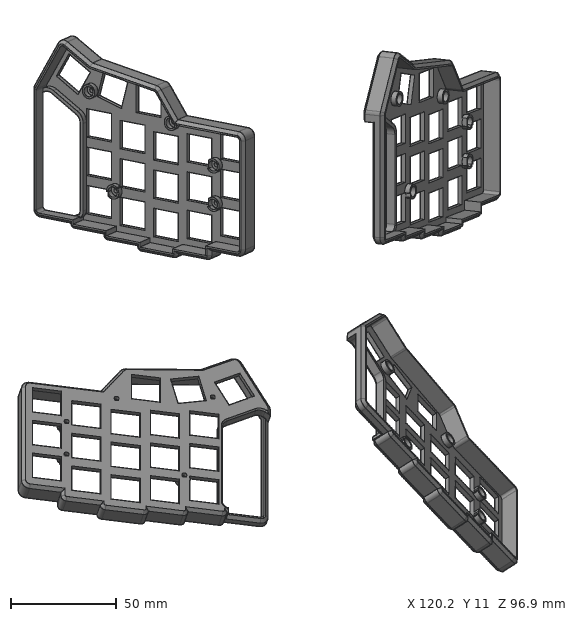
import cadquery as cq
import math

WIDTH = 120.2
DEPTH = 11.0
WALL = 2.4
FLOOR = 2.3
EDGE_CHAMFER = 1.6
CORNER_RADIUS = 3.8
STEP_RADIUS = 2.4

THUMB_TILT = 30
THUMB_KINK_Z = 70.8
THUMB_SIDE = 31.7
RIDGE_LEFT = (33.4, 88.3)
RIDGE_RIGHT = (71.4, 83.1)
SHOULDER_FOOT = (81.8, 68.6)

KEY_SIZE = 14.0
KEY_PITCH = 19.0
ROWS = 3
FIRST_COLUMN_X = 32.2
BOTTOM_KEY_Z = [17.4, 14.9, 12.6, 14.9, 19.6]
KEY_TO_EDGE = 12.6
STEP_X = [20.9, 39.8, 58.9, 82.2, 101.0]

THUMB_KEYS = [(17.7, 78.2, THUMB_TILT), (39.9, 74.5, THUMB_TILT / 2), (60.3, 72.3, 0)]

WINDOW_DEPTH = 5.0
WINDOW_RIGHT = 23.3
WINDOW_CORNER_Z = 58.4
WINDOW_PEAK_X = 5.0
WINDOW_RADIUS = 4.5
FOOT_RADIUS = 3.0
WINDOW_CHAMFER = 0.7
RIB_WIDTH = 1.8

BOSS_DIAMETER = 7.0
BOSS_BORE = 5.0
SCREW_HOLE = 2.3
SCREWS = [(28.1, 72.1), (74.6, 64.4), (98.8, 47.5), (98.8, 28.5), (41.8, 24.8)]

OUTSIDE = 12.0
FLOOR_FRONT = DEPTH - FLOOR
WINDOW_FRONT = DEPTH - WINDOW_DEPTH
COLUMN_X = [FIRST_COLUMN_X + column * KEY_PITCH for column in range(len(BOTTOM_KEY_Z))]
COLUMN_BOTTOM = [key_z - KEY_TO_EDGE for key_z in BOTTOM_KEY_Z]
MAIN_BOTTOM = COLUMN_BOTTOM[-1]

TIERS = [
    (STEP_X[0], COLUMN_X[2], COLUMN_BOTTOM[0]),
    (STEP_X[1], STEP_X[4], COLUMN_BOTTOM[1]),
    (STEP_X[2], STEP_X[3], COLUMN_BOTTOM[2]),
]
TIER_TOP = max(BOTTOM_KEY_Z)


def plane(y):
    """XZ plane at the given y; a negative extrusion runs towards +Y."""
    return cq.Workplane("XZ", origin=(0, y, 0))


def upright_edges(block, corners):
    """Edges of the block that run along Y through the given (x, z) corners."""
    def at_corner(edge):
        center = edge.Center()
        return any(math.dist((center.x, center.z), corner) < 0.01 for corner in corners)

    return block.edges("|Y").filter(at_corner)


def main_block(depth):
    """Outline without the stepped tiers, convex corners rounded."""
    tilt = math.radians(THUMB_TILT)
    apex = (THUMB_SIDE * math.sin(tilt), THUMB_KINK_Z + THUMB_SIDE * math.cos(tilt))
    shoulder_end = (WIDTH, SHOULDER_FOOT[1])
    kink = (0, THUMB_KINK_Z)
    lower_left = (0, MAIN_BOTTOM)
    lower_right = (WIDTH, MAIN_BOTTOM)
    outline = [lower_left, kink, apex, RIDGE_LEFT, RIDGE_RIGHT, SHOULDER_FOOT, shoulder_end, lower_right]
    convex = [lower_left, kink, apex, RIDGE_RIGHT, shoulder_end, lower_right]
    block = plane(0).polyline(outline).close().extrude(-depth)
    return upright_edges(block, convex).fillet(CORNER_RADIUS)


def tier_box(tier, inset, depth):
    left, right, bottom = tier
    low_corner = (left + inset, bottom + inset)
    width = right - left - 2 * inset
    height = TIER_TOP - bottom - inset
    return plane(0).moveTo(*low_corner).rect(width, height, centered=False).extrude(-depth)


def case_blank(depth):
    """Solid case shape with both rims chamfered."""
    blank = main_block(depth).faces("<Y or >Y").chamfer(EDGE_CHAMFER)
    for tier in TIERS:
        box = tier_box(tier, 0, depth).edges("|Y and <Z").fillet(STEP_RADIUS)
        blank = blank.union(box.faces("<Y or >Y").chamfer(EDGE_CHAMFER))
    return blank


def offset_block(block, distance):
    """Grow or shrink a straight block sideways, keeping its length along Y."""
    box = block.val().BoundingBox()
    outline = block.faces("<Y").wires().val().offset2D(distance)[0]
    return cq.Workplane(cq.Solid.extrudeLinear(outline, [], cq.Vector(0, box.ylen, 0)))


def cavity(depth):
    """The space inside the wall, from the open rim down to depth."""
    space = offset_block(main_block(depth), -WALL)
    for tier in TIERS:
        space = space.union(tier_box(tier, WALL, depth))
    return space


def window(y_start, y_end):
    """Window shape; it runs out past the left wall and the wall below."""
    slope = math.tan(math.radians(THUMB_TILT))
    end_x = WINDOW_RIGHT - FOOT_RADIUS
    foot_low = (end_x, MAIN_BOTTOM + WALL)
    foot_high = (WINDOW_RIGHT, foot_low[1] + FOOT_RADIUS)
    corner = (WINDOW_RIGHT, WINDOW_CORNER_Z)
    peak = (WINDOW_PEAK_X, WINDOW_CORNER_Z + slope * (WINDOW_RIGHT - WINDOW_PEAK_X))
    far_left = (-OUTSIDE, peak[1] - slope * (WINDOW_PEAK_X + OUTSIDE))
    outline = plane(y_start).polyline(
        [foot_high, corner, peak, far_left, (-OUTSIDE, -OUTSIDE), (end_x, -OUTSIDE), foot_low]
    )
    block = outline.radiusArc(foot_high, -FOOT_RADIUS).close().extrude(y_start - y_end)
    return upright_edges(block, [corner, peak]).fillet(WINDOW_RADIUS)


def window_flare():
    """Cutter that chamfers the window edge at the back face."""
    block = window(DEPTH - WINDOW_CHAMFER, DEPTH + WINDOW_CHAMFER)
    return offset_block(block, WINDOW_CHAMFER).faces("<Y").chamfer(WINDOW_CHAMFER)


def cylinders(diameter, y_start, y_end):
    """One cylinder at every screw place."""
    return plane(y_start).pushPoints(SCREWS).circle(diameter / 2).extrude(y_start - y_end)


def cut_keys(body):
    grid = [(x, z + row * KEY_PITCH, 0) for x, z in zip(COLUMN_X, BOTTOM_KEY_Z) for row in range(ROWS)]
    for x, z, turn in grid + THUMB_KEYS:
        hole = cq.Workplane().box(KEY_SIZE, DEPTH, KEY_SIZE).rotate((0, 0, 0), (0, 1, 0), turn)
        body = body.cut(hole.translate((x, DEPTH, z)))
    return body


tray_space = cavity(FLOOR_FRONT)
rib = offset_block(window(WINDOW_FRONT, DEPTH), RIB_WIDTH).intersect(tray_space)
tray = case_blank(DEPTH).cut(tray_space).union(rib).union(cylinders(BOSS_DIAMETER, WINDOW_FRONT, DEPTH))

tray = tray.cut(window(WINDOW_FRONT - EDGE_CHAMFER, DEPTH)).cut(window_flare())
tray = tray.union(case_blank(WINDOW_FRONT).cut(cavity(WINDOW_FRONT)))

tray = cut_keys(tray)
tray = tray.cut(cylinders(BOSS_BORE, WINDOW_FRONT, FLOOR_FRONT))
result = tray.cut(cylinders(SCREW_HOLE, WINDOW_FRONT, DEPTH))